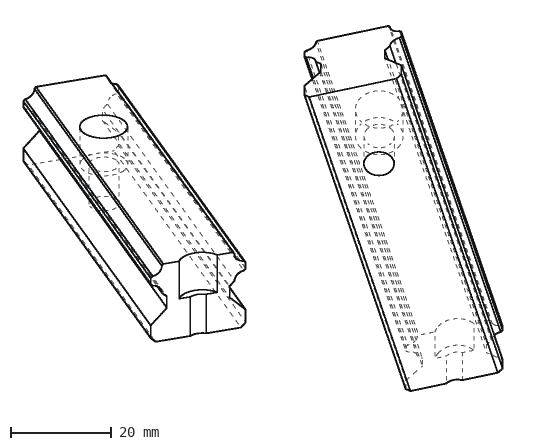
import cadquery as cq

length = 77.5
width = 20.0
height = 17.4

half_width = width / 2
base_chamfer = 1.0
waist_half_width = 6.6
waist_bottom_z = 7.3
top_half_width = 7.35

ridge_z = 13.92
ridge_half_flat = 0.7
ridge_chamfer = 0.4
groove_inner_half_width = 7.65
groove_inner_offset = 3.05
groove_radius = 2.1

groove_outer_half_width = half_width - ridge_chamfer
groove_outer_offset = ridge_half_flat + ridge_chamfer

foot_top_z = waist_bottom_z - (half_width - waist_half_width)
waist_top_z = ridge_z - groove_inner_offset - (groove_inner_half_width - waist_half_width)

first_hole_x = 20.0
hole_pitch = 60.0
hole_count = 2
hole_diameter = 6.0
counterbore_diameter = 9.5
counterbore_depth = 8.5


def half_section():
    """Half of the rail section on the +Y side, in the YZ plane."""
    return (
        cq.Workplane("YZ")
        .moveTo(0, 0)
        .lineTo(half_width - base_chamfer, 0)
        .lineTo(half_width, base_chamfer)
        .lineTo(half_width, foot_top_z)
        .lineTo(waist_half_width, waist_bottom_z)
        .lineTo(waist_half_width, waist_top_z)
        .lineTo(groove_inner_half_width, ridge_z - groove_inner_offset)
        .radiusArc((groove_outer_half_width, ridge_z - groove_outer_offset), groove_radius)
        .lineTo(half_width, ridge_z - ridge_half_flat)
        .lineTo(half_width, ridge_z + ridge_half_flat)
        .lineTo(groove_outer_half_width, ridge_z + groove_outer_offset)
        .radiusArc((groove_inner_half_width, ridge_z + groove_inner_offset), groove_radius)
        .lineTo(top_half_width, height)
        .lineTo(0, height)
        .close()
    )


def rail_body():
    """Full rail, symmetric about the XZ plane."""
    half_rail = half_section().extrude(length)
    return half_rail.union(half_rail.mirror("XZ")).clean()


def mounting_hole(x):
    """Cutter for one through hole with its counterbore at the top face."""
    through_hole = cq.Workplane("XY").center(x, 0).circle(hole_diameter / 2).extrude(height)
    counterbore = (
        cq.Workplane("XY", origin=(x, 0, height - counterbore_depth))
        .circle(counterbore_diameter / 2)
        .extrude(counterbore_depth)
    )
    return through_hole.union(counterbore)


result = rail_body()
for index in range(hole_count):
    result = result.cut(mounting_hole(first_hole_x + index * hole_pitch))